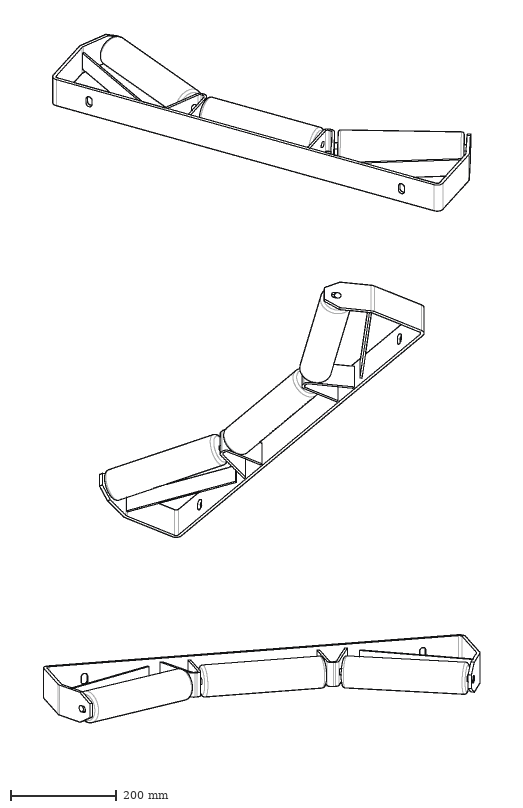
import cadquery as cq
import math


frame_length = 830.0
strip_height = 60.0
strip_thickness = 7.0
wall_bend_y = 124.5
wall_tip_y = 209.0
trough_angle = 25.0
corner_inner_radius = 6.0
wall_bend_inner_radius = 10.0
tip_flat = 27.0
tip_taper_length = 30.0

mount_hole_spacing = 666.0
mount_hole_width = 12.5
mount_hole_height = 22.0

roller_diameter = 61.5
roller_axis_z = -2.0
roller_length = 240.0
roller_edge_radius = 5.0
shaft_diameter = 12.5
middle_roller_y = 70.5
side_roller_x = 266.5
side_roller_y = 130.0
axle_slot_length = 18.0

bracket_thickness = 5.0
bracket_leg_x = 124.5
bracket_foot_x = 184.0
bracket_top_y = 92.0
bracket_inner_radius = 5.0
bracket_height = 48.0

strut_thickness = 4.0
strut_height = 36.5
strut_foot_x = 209.0
strut_angle = 30.0

half_length = frame_length / 2
trough_tan = math.tan(math.radians(trough_angle))
trough_cos = math.cos(math.radians(trough_angle))
trough_sin = math.sin(math.radians(trough_angle))
axle_slot_offset = (axle_slot_length - shaft_diameter) / 2
wall_tip_x = half_length - (wall_tip_y - wall_bend_y) * trough_tan
outward = cq.Vector(-trough_cos, trough_sin, 0)
left_roller_centre = cq.Vector(-side_roller_x, side_roller_y, roller_axis_z)


def distance_along_axis(x, y):
    """Distance of a point from the left roller's centre, measured outward along its axis."""
    return (cq.Vector(x, y, roller_axis_z) - left_roller_centre).dot(outward)


wall_outer_distance = distance_along_axis(-half_length, wall_bend_y)
bracket_outer_distance = distance_along_axis(-bracket_foot_x, strip_thickness)
bracket_far_distance = bracket_outer_distance - bracket_thickness
middle_shaft_half = bracket_leg_x + bracket_thickness


def mirrored(body):
    return body.mirror("YZ")


def offset_path(path, distance):
    """Points of a path moved sideways to its left, with mitred corners and square ends."""
    points = [cq.Vector(x, y, 0) for x, y in path]
    directions = [(b - a).normalized() for a, b in zip(points, points[1:])]
    normals = [cq.Vector(-d.y, d.x, 0) for d in directions]
    moved = []
    for point, before, after in zip(points, normals[:1] + normals, normals + normals[-1:]):
        shift = (before + after) * (distance / (1 + before.dot(after)))
        moved.append((point.x + shift.x, point.y + shift.y))
    return moved


def bent_strip(outer_path, thickness, height, centre_z, inner_radii):
    """Upright strip that follows its outer face; thickness is positive to the left of the path."""
    inner_path = offset_path(outer_path, thickness)
    strip = (
        cq.Workplane("XY", origin=(0, 0, centre_z - height / 2))
        .polyline(outer_path + inner_path[::-1])
        .close()
        .extrude(height)
    )
    for outer, inner, radius in zip(outer_path[1:-1], inner_path[1:-1], inner_radii):
        for corner, corner_radius in ((inner, radius), (outer, radius + abs(thickness))):
            edge = cq.selectors.NearestToPointSelector((*corner, centre_z))
            strip = strip.edges("|Z").edges(edge).fillet(corner_radius)
    return strip


def tilted_plane(origin):
    """Plane square to the left roller's axis: local X runs down the tilted wall, local Y runs along Z."""
    down_wall = (-trough_sin, -trough_cos, 0)
    return cq.Workplane(cq.Plane(origin=origin, xDir=down_wall, normal=outward.toTuple()))


def left_axis_plane(distance):
    """Tilted plane centred on the left roller's axis, at a distance outward from its middle."""
    return tilted_plane((left_roller_centre + outward * distance).toTuple())


def make_roller(shaft_start, shaft_end):
    """Roller along X, centred on the origin, with its fixed shaft."""
    drum = (
        cq.Workplane("YZ", origin=(-roller_length / 2, 0, 0))
        .circle(roller_diameter / 2)
        .extrude(roller_length)
        .edges()
        .fillet(roller_edge_radius)
    )
    shaft = (
        cq.Workplane("YZ", origin=(shaft_start, 0, 0))
        .circle(shaft_diameter / 2)
        .extrude(shaft_end - shaft_start)
    )
    return drum.union(shaft)


def tip_corner_cutter():
    """Wedges that taper the end of the left wall, above and below the axle slot."""
    tip_plane = tilted_plane((-wall_tip_x, wall_tip_y, 0))
    wedges = cq.Workplane("XY")
    for side in (-1, 1):
        wedge = (
            tip_plane.moveTo(0, side * tip_flat / 2)
            .lineTo(0, side * strip_height / 2)
            .lineTo(tip_taper_length, side * strip_height / 2)
            .close()
            .extrude(-strip_thickness)
        )
        wedges = wedges.add(wedge)
    return wedges.combine()


def make_frame():
    right_side = [(half_length, 0), (half_length, wall_bend_y), (wall_tip_x, wall_tip_y)]
    left_side = [(-x, y) for x, y in reversed(right_side)]
    frame = bent_strip(
        left_side + right_side,
        strip_thickness,
        strip_height,
        0,
        [wall_bend_inner_radius, corner_inner_radius, corner_inner_radius, wall_bend_inner_radius],
    )
    mount_holes = (
        cq.Workplane("XZ")
        .pushPoints([(-mount_hole_spacing / 2, 0), (mount_hole_spacing / 2, 0)])
        .slot2D(mount_hole_height, mount_hole_width, 90)
        .extrude(-strip_thickness)
    )
    axle_slot = (
        left_axis_plane(wall_outer_distance)
        .center(-axle_slot_offset, 0)
        .slot2D(axle_slot_length, shaft_diameter)
        .extrude(-strip_thickness)
    )
    frame = frame.cut(mount_holes)
    for cutter in (axle_slot, tip_corner_cutter()):
        frame = frame.cut(cutter).cut(mirrored(cutter))
    return frame


def make_left_bracket():
    """Two-legged bracket: a tilted leg for the side roller and an upright leg for the middle one."""
    shoulder_x = -bracket_foot_x + (bracket_top_y - strip_thickness) * trough_tan
    foot_at_zero_x = -bracket_foot_x - strip_thickness * trough_tan
    outer_path = [
        (foot_at_zero_x, 0),
        (shoulder_x, bracket_top_y),
        (-bracket_leg_x, bracket_top_y),
        (-bracket_leg_x, 0),
    ]
    bend_radii = [bracket_inner_radius, bracket_inner_radius]
    bracket = bent_strip(outer_path, -bracket_thickness, bracket_height, roller_axis_z, bend_radii)
    foot_trim = cq.Workplane("XY").box(frame_length, 2 * strip_thickness, 2 * strip_height)
    middle_hole = (
        cq.Workplane("YZ", origin=(-middle_shaft_half, middle_roller_y, roller_axis_z))
        .circle(shaft_diameter / 2)
        .extrude(bracket_thickness)
    )
    side_hole = (
        left_axis_plane(bracket_outer_distance)
        .circle(shaft_diameter / 2)
        .extrude(-bracket_thickness)
    )
    return bracket.cut(foot_trim).cut(middle_hole).cut(side_hole)


def make_left_strut(frame):
    """Flat bar from the frame's long side to its end wall, level with the roller axes."""
    run = half_length - strip_thickness - strut_foot_x
    length = run / math.cos(math.radians(strut_angle))
    bar = (
        cq.Workplane("XY")
        .box(length, strut_thickness, strut_height, centered=False)
        .translate((-length, 0, roller_axis_z - strut_height / 2))
        .rotate((0, 0, 0), (0, 0, 1), -strut_angle)
        .translate((-strut_foot_x, strip_thickness, 0))
    )
    return bar.cut(frame)


frame = make_frame()
middle_roller = make_roller(-middle_shaft_half, middle_shaft_half)
middle_roller = middle_roller.translate((0, middle_roller_y, roller_axis_z))
left_roller = (
    make_roller(-wall_outer_distance, -bracket_far_distance)
    .rotate((0, 0, 0), (0, 0, 1), -trough_angle)
    .translate(left_roller_centre)
)
left_bracket = make_left_bracket()
left_strut = make_left_strut(frame)

bodies = [frame.solids().val(), middle_roller.solids().val()]
for left_body in (left_roller, left_bracket, left_strut):
    for body in (left_body, mirrored(left_body)):
        bodies.append(body.solids().val())

result = cq.Compound.makeCompound(bodies)